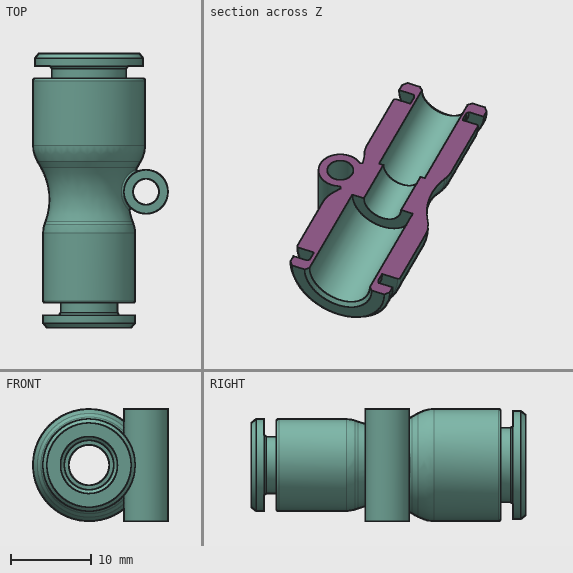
import cadquery as cq
import math


body_length = 28.0
body_edge_radius = 0.3
waist_diameter = 9.9
waist_y = -1.1
waist_arc_radius = 8.0

collar_gap = 1.5
collar_rim_width = 1.0
collar_chamfer_width = 0.6
collar_chamfer_depth = 0.5
neck_flare_length = 0.3
neck_flare_height = 0.2

bore_mouth_chamfer = 0.475
tube_insertion_depth = 14.0
flow_diameter = 5.0

lug_diameter = 5.5
lug_hole_diameter = 3.2
lug_x = 7.1
lug_y = -0.15
lug_height = 14.0
lug_blend_radius = 0.2

large_end = {
    "side": 1,
    "body_diameter": 14.0,
    "collar_diameter": 13.5,
    "neck_diameter": 9.3,
    "tube_diameter": 8.15,
    "cone_angle": math.radians(30),
    "shoulder_radius": 4.0,
}
small_end = {
    "side": -1,
    "body_diameter": 11.5,
    "collar_diameter": 11.5,
    "neck_diameter": 7.1,
    "tube_diameter": 6.15,
    "cone_angle": math.radians(20),
    "shoulder_radius": 3.0,
}

half_body = body_length / 2
waist_radius = waist_diameter / 2
rim_start = half_body + collar_gap
rim_end = rim_start + collar_rim_width
end_face = rim_end + collar_chamfer_width


def arc_point(center, radius, angle, side, outward):
    """Point (radius from the tube axis, y) on an arc, turned by an angle from its level point.

    outward is 1 for a convex arc and -1 for a concave one.
    """
    center_r, center_y = center
    r = center_r + outward * radius * math.cos(angle)
    y = center_y + outward * side * radius * math.sin(angle)
    return (r, y)


def shoulder_points(end):
    """Cone and shoulder points of one end, from the waist outwards, as (radius, y)."""
    side = end["side"]
    angle = end["cone_angle"]
    body_radius = end["body_diameter"] / 2
    shoulder_radius = end["shoulder_radius"]

    waist_center = (waist_radius + waist_arc_radius, waist_y)
    cone_start = arc_point(waist_center, waist_arc_radius, -angle, side, -1)

    cone_end_r = body_radius - shoulder_radius * (1 - math.cos(angle))
    cone_length = (cone_end_r - cone_start[0]) / math.tan(angle)
    shoulder_start_y = cone_start[1] + side * cone_length
    shoulder_end_y = shoulder_start_y + side * shoulder_radius * math.sin(angle)
    shoulder_center = (body_radius - shoulder_radius, shoulder_end_y)
    return {
        "cone_start": cone_start,
        "cone_end": (cone_end_r, shoulder_start_y),
        "shoulder_mid": arc_point(shoulder_center, shoulder_radius, -angle / 2, side, 1),
        "shoulder_end": (body_radius, shoulder_end_y),
    }


def moulded_body():
    """Waisted body: cylinder, shoulder and cone at each end, joined by one concave waist arc."""
    small = shoulder_points(small_end)
    large = shoulder_points(large_end)
    body = (
        cq.Workplane("XY")
        .moveTo(0, -half_body)
        .lineTo(small_end["body_diameter"] / 2, -half_body)
        .lineTo(*small["shoulder_end"])
        .threePointArc(small["shoulder_mid"], small["cone_end"])
        .lineTo(*small["cone_start"])
        .threePointArc((waist_radius, waist_y), large["cone_start"])
        .lineTo(*large["cone_end"])
        .threePointArc(large["shoulder_mid"], large["shoulder_end"])
        .lineTo(large_end["body_diameter"] / 2, half_body)
        .lineTo(0, half_body)
        .close()
        .revolve(360, (0, 0, 0), (0, 1, 0))
    )
    return body.faces("<Y or >Y").edges().fillet(body_edge_radius)


def revolve_outline(points):
    """Solid of revolution about Y from (radius, y) points."""
    return cq.Workplane("XY").polyline(points).close().revolve(360, (0, 0, 0), (0, 1, 0))


def collar(end):
    """Neck and chamfered rim standing out of one end of the body."""
    side = end["side"]
    neck_radius = end["neck_diameter"] / 2
    rim_radius = end["collar_diameter"] / 2
    return revolve_outline([
        (0, side * half_body),
        (neck_radius, side * half_body),
        (neck_radius, side * (rim_start - neck_flare_length)),
        (neck_radius + neck_flare_height, side * rim_start),
        (rim_radius, side * rim_start),
        (rim_radius, side * rim_end),
        (rim_radius - collar_chamfer_depth, side * end_face),
        (0, side * end_face),
    ])


def tube_bore(end):
    """Tube socket with a chamfered mouth, ending on a flat stop."""
    side = end["side"]
    bore_radius = end["tube_diameter"] / 2
    stop = end_face - tube_insertion_depth
    return revolve_outline([
        (0, side * stop),
        (bore_radius, side * stop),
        (bore_radius, side * (end_face - bore_mouth_chamfer)),
        (bore_radius + bore_mouth_chamfer, side * end_face),
        (0, side * end_face),
    ])


def lug_cylinder(diameter):
    """Cylinder on the lug axis, centred on the tube axis in height."""
    return (
        cq.Workplane("XY", origin=(lug_x, lug_y, -lug_height / 2))
        .circle(diameter / 2)
        .extrude(lug_height)
    )


def body_with_lug():
    """Body joined to the lug, with a small blend where they meet."""
    joined = moulded_body().union(lug_cylinder(lug_diameter))
    half_lug = lug_diameter / 2
    half_zone_height = waist_radius
    blend_zone = cq.selectors.BoxSelector(
        (lug_x - half_lug, lug_y - half_lug, -half_zone_height),
        (lug_x, lug_y + half_lug, half_zone_height),
    )
    return joined.edges(blend_zone).fillet(lug_blend_radius)


def flow_passage():
    """Straight passage between the two tube sockets."""
    return cq.Workplane("XZ", origin=(0, end_face, 0)).circle(flow_diameter / 2).extrude(2 * end_face)


result = body_with_lug()
for tube_end in (large_end, small_end):
    result = result.union(collar(tube_end))
    result = result.cut(tube_bore(tube_end))
result = result.cut(flow_passage()).cut(lug_cylinder(lug_hole_diameter))